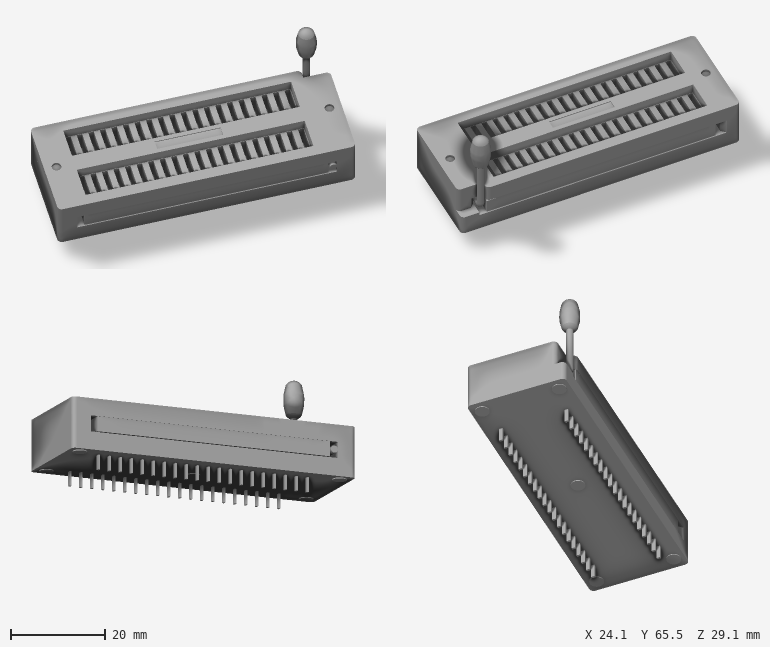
import cadquery as cq
import math


WIDTH = 22.86
LENGTH = 65.5
SPLIT_Z = 7.47
COVER_HEIGHT = 3.79
TOP_Z = SPLIT_Z + COVER_HEIGHT
CORNER_RADIUS = 1.0
LEFT_X = -WIDTH / 2
BACK_Y = LENGTH / 2

PIN_PITCH = 2.54
PINS_PER_ROW = 20
PIN_ROW_X = 3 * PIN_PITCH
PIN_WIDTH = 0.85
PIN_THICKNESS = 0.45
PIN_LENGTH = 3.24
CONTACT_CENTER_Y = -1.03
PIN_YS = [CONTACT_CENTER_Y + (i - (PINS_PER_ROW - 1) / 2) * PIN_PITCH for i in range(PINS_PER_ROW)]

FOOT_DIAMETER = 3.15
FOOT_HEIGHT = 0.2
FOOT_X = 8.95
FOOT_Y = 30.04
FOOT_CENTERS = [(0, 0)] + [(sx * FOOT_X, sy * FOOT_Y) for sx in (-1, 1) for sy in (-1, 1)]

STEM_DIAMETER = 1.6
STEM_RADIUS = STEM_DIAMETER / 2
LEVER_X = -10.37
SHAFT_Z = 5.82
BEND_RADIUS = STEM_RADIUS + 0.05
SHAFT_END_X = WIDTH / 2
BALL_TOP_Z = 25.9
BALL_LENGTH = 8.5
BALL_RADIUS = 2.27
BALL_RIM_RADIUS = 1.73
BALL_DOME_HEIGHT = 1.0

CHANNEL_FLOOR_Z = 3.95
CHANNEL_BACK_Y = 28.58
CHANNEL_FRONT_Y = -28.5
CHANNEL_CHAMFER = 1.05
LEVER_Y = CHANNEL_BACK_Y - STEM_RADIUS

NOTCH_WIDTH = 2.04
NOTCH_FLOOR_Z = 4.74
NOTCH_FRONT_Y = 26.85
NOTCH_X = LEFT_X + NOTCH_WIDTH

CARRIAGE_BACK_Y = 26.77
CARRIAGE_FRONT_Y = -26.96
CARRIAGE_CLEARANCE = 0.2
CARRIAGE_SIDE_INSET = 0.1
CARRIAGE_LEFT_X = LEFT_X + CARRIAGE_SIDE_INSET
CARRIAGE_BOTTOM_Z = CHANNEL_FLOOR_Z + CARRIAGE_CLEARANCE
RELIEF_LENGTH = 2.1
RELIEF_DEPTH = 0.2

WINDOW_X = 5.47
WINDOW_WIDTH = 7.0
WINDOW_LENGTH = 50.15
WINDOW_DEPTH = 2.15
WINDOW_TAPER = 0.2
SLOT_WIDTH = 6.4
SLOT_LENGTH = 1.2
DIMPLE_DIAMETER = 2.05
DIMPLE_DEPTH = 0.6
LABEL_WIDTH = 2.0
LABEL_LENGTH = 14.5
LABEL_DEPTH = 0.2
LABEL_Y = -0.9


def block(x_min, x_max, y_min, y_max, z_min, z_max):
    """Axis-aligned box between the given limits."""
    size = (x_max - x_min, y_max - y_min, z_max - z_min)
    return cq.Workplane("XY").box(*size, centered=False).translate((x_min, y_min, z_min))


def housing_block(z_min, z_max):
    """Full housing outline with rounded vertical corners."""
    outline = block(LEFT_X, -LEFT_X, -BACK_Y, BACK_Y, z_min, z_max)
    return outline.edges("|Z").fillet(CORNER_RADIUS)


def channel_cutter():
    """Channel through both sides, flared at the left side and at the notch wall."""
    outline = [
        (LEFT_X, CHANNEL_FRONT_Y - CHANNEL_CHAMFER),
        (LEFT_X + CHANNEL_CHAMFER, CHANNEL_FRONT_Y),
        (-LEFT_X, CHANNEL_FRONT_Y),
        (-LEFT_X, CHANNEL_BACK_Y),
        (LEFT_X, CHANNEL_BACK_Y),
    ]
    channel = cq.Workplane("XY").workplane(offset=CHANNEL_FLOOR_Z).polyline(outline).close()
    channel = channel.extrude(SPLIT_Z - CHANNEL_FLOOR_Z)
    flare_outline = [
        (NOTCH_X, CHANNEL_BACK_Y),
        (NOTCH_X, CHANNEL_BACK_Y + CHANNEL_CHAMFER),
        (NOTCH_X + CHANNEL_CHAMFER, CHANNEL_BACK_Y),
    ]
    flare = cq.Workplane("XY").workplane(offset=NOTCH_FLOOR_Z).polyline(flare_outline).close()
    return channel.union(flare.extrude(SPLIT_Z - NOTCH_FLOOR_Z))


def corner_notch(outline, front_y, z_min, z_max):
    """Cut the lever notch and round the upright corner it leaves at the back face."""
    notched = outline.cut(block(LEFT_X, NOTCH_X, front_y, BACK_Y, z_min, z_max))
    corner_edge = cq.selectors.NearestToPointSelector((NOTCH_X, BACK_Y, (z_min + z_max) / 2))
    return notched.edges("|Z").edges(corner_edge).fillet(CORNER_RADIUS)


def make_base():
    base = housing_block(0, SPLIT_Z)
    base = corner_notch(base, CHANNEL_BACK_Y, NOTCH_FLOOR_Z, SPLIT_Z)
    base = base.cut(channel_cutter())
    pin_centers = [(side * PIN_ROW_X, y) for side in (-1, 1) for y in PIN_YS]
    pins = cq.Workplane("XY").pushPoints(pin_centers).rect(PIN_WIDTH, PIN_THICKNESS).extrude(-PIN_LENGTH)
    feet = cq.Workplane("XY").pushPoints(FOOT_CENTERS).circle(FOOT_DIAMETER / 2).extrude(-FOOT_HEIGHT)
    return base.union(feet).union(pins)


def window_cutter(center_x):
    """Shallow window that narrows evenly from the top face down to its floor."""
    taper_angle = math.degrees(math.atan(WINDOW_TAPER / WINDOW_DEPTH))
    window = cq.Workplane("XY").workplane(offset=TOP_Z).center(center_x, CONTACT_CENTER_Y)
    return window.rect(WINDOW_WIDTH, WINDOW_LENGTH).extrude(-WINDOW_DEPTH, taper=taper_angle)


def contact_slot_cutter():
    """One slot per contact, from the window floors down through the carriage."""
    slot_top_z = TOP_Z - WINDOW_DEPTH
    slot_centers = [(side * WINDOW_X, y) for side in (-1, 1) for y in PIN_YS]
    slots = cq.Workplane("XY").workplane(offset=slot_top_z).pushPoints(slot_centers)
    return slots.rect(SLOT_WIDTH, SLOT_LENGTH).extrude(CARRIAGE_BOTTOM_Z - slot_top_z)


def make_carriage():
    """Block that hangs from the cover, with a shallow relief on top beside the lever."""
    carriage = block(
        CARRIAGE_LEFT_X, -CARRIAGE_LEFT_X, CARRIAGE_FRONT_Y, CARRIAGE_BACK_Y, CARRIAGE_BOTTOM_Z, SPLIT_Z
    )
    relief_front_y = CARRIAGE_BACK_Y - RELIEF_LENGTH
    relief = block(LEFT_X, NOTCH_X, relief_front_y, CARRIAGE_BACK_Y, SPLIT_Z - RELIEF_DEPTH, SPLIT_Z)
    return carriage.cut(relief)


def make_cover():
    cover = housing_block(SPLIT_Z, TOP_Z)
    cover = corner_notch(cover, NOTCH_FRONT_Y, SPLIT_Z, TOP_Z)
    shoulder_point = (LEFT_X, NOTCH_FRONT_Y, (SPLIT_Z + TOP_Z) / 2)
    shoulder_edge = cq.selectors.NearestToPointSelector(shoulder_point)
    cover = cover.edges("|Z").edges(shoulder_edge).fillet(CORNER_RADIUS)
    for side in (-1, 1):
        cover = cover.cut(window_cutter(side * WINDOW_X))
    dimples = cq.Workplane("XY").workplane(offset=TOP_Z).pushPoints([(0, FOOT_Y), (0, -FOOT_Y)])
    dimples = dimples.circle(DIMPLE_DIAMETER / 2).extrude(-DIMPLE_DEPTH)
    label = cq.Workplane("XY").workplane(offset=TOP_Z).center(0, LABEL_Y)
    label = label.rect(LABEL_WIDTH, LABEL_LENGTH).extrude(-LABEL_DEPTH)
    cover = cover.cut(dimples).cut(label)
    return cover.union(make_carriage()).cut(contact_slot_cutter())


def make_ball():
    """Barrel-shaped handle with domed ends, turned about the stem axis."""
    bottom_z = BALL_TOP_Z - BALL_LENGTH
    middle_z = BALL_TOP_Z - BALL_LENGTH / 2
    upper_rim_z = BALL_TOP_Z - BALL_DOME_HEIGHT
    lower_rim_z = bottom_z + BALL_DOME_HEIGHT
    dome_radius = (BALL_RIM_RADIUS**2 + BALL_DOME_HEIGHT**2) / (2 * BALL_DOME_HEIGHT)
    profile = (
        cq.Workplane("XZ")
        .moveTo(0, bottom_z)
        .radiusArc((BALL_RIM_RADIUS, lower_rim_z), -dome_radius)
        .threePointArc((BALL_RADIUS, middle_z), (BALL_RIM_RADIUS, upper_rim_z))
        .radiusArc((0, BALL_TOP_Z), -dome_radius)
        .close()
    )
    return profile.revolve(360, (0, 0), (0, 1)).translate((LEVER_X, LEVER_Y, 0))


def make_lever():
    """Upright stem, right-angle bend and cross shaft swept in one piece, with the ball on top."""
    middle_z = BALL_TOP_Z - BALL_LENGTH / 2
    bend_center_x = LEVER_X + BEND_RADIUS
    bend_center_z = SHAFT_Z + BEND_RADIUS
    bend_reach = BEND_RADIUS * math.sqrt(0.5)
    path = (
        cq.Workplane("XZ", origin=(0, LEVER_Y, 0))
        .moveTo(LEVER_X, middle_z)
        .lineTo(LEVER_X, bend_center_z)
        .threePointArc((bend_center_x - bend_reach, bend_center_z - bend_reach), (bend_center_x, SHAFT_Z))
        .lineTo(SHAFT_END_X, SHAFT_Z)
    )
    stem_section = cq.Workplane("XY", origin=(LEVER_X, LEVER_Y, middle_z)).circle(STEM_RADIUS)
    return stem_section.sweep(path).union(make_ball())


base = make_base()
cover = make_cover()
lever = make_lever()

result = cq.Compound.makeCompound([base.solids().val(), cover.solids().val(), lever.solids().val()])